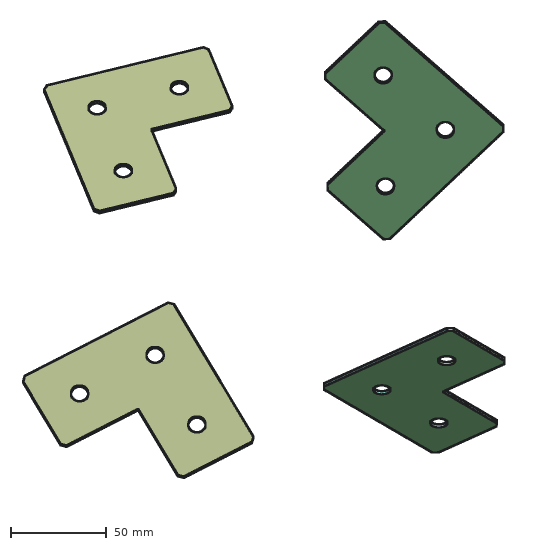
import cadquery as cq

side_length = 90.0
thickness = 2.0
corner_chamfer = 2.25
hole_diameter = 9.0

leg_width = side_length / 2
near_hole = leg_width / 2
far_hole = side_length - near_hole
hole_centres = [
    (near_hole, near_hole),
    (far_hole, near_hole),
    (near_hole, far_hole),
]


def make_leg(length_x, length_y):
    """Rectangular leg with one corner at the origin."""
    return cq.Workplane("XY").box(length_x, length_y, thickness, centered=False)


def make_plate():
    """L-shaped plate with its five outer corners chamfered and the inner corner sharp."""
    leg_along_x = make_leg(side_length, leg_width).edges("|Z").chamfer(corner_chamfer)
    leg_along_y = make_leg(leg_width, side_length).edges("|Z").chamfer(corner_chamfer)
    return leg_along_x.union(leg_along_y)


def make_holes():
    """Cylinders for the three through holes."""
    return cq.Workplane("XY").pushPoints(hole_centres).circle(hole_diameter / 2).extrude(thickness)


result = make_plate().cut(make_holes())